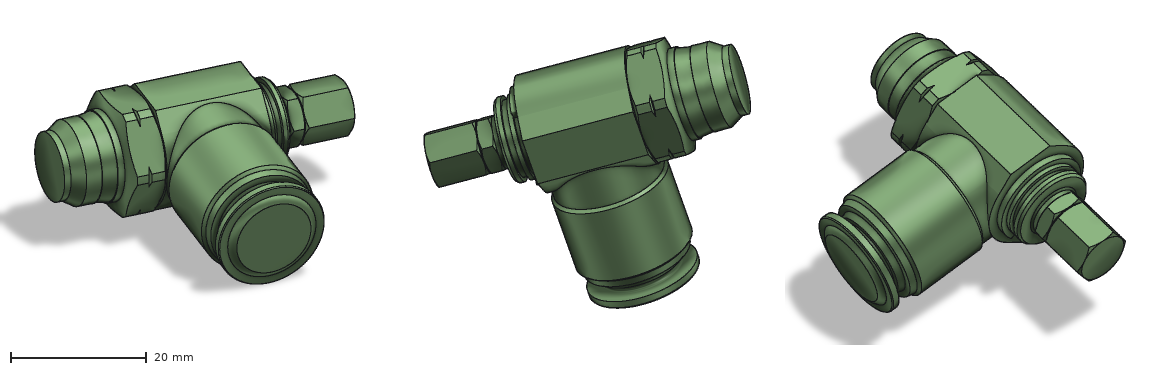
import cadquery as cq
import math


STUB_RADIUS = 5.3
STUB_TOP = 1.05
LEAD_CONE_TOP = 3.0
LEAD_RADIUS = 6.55
THREAD_RADIUS = 6.6
THREAD_TOP = 5.55
RELIEF_BOTTOM_RADIUS = 6.45
RELIEF_TOP_RADIUS = 6.85
RELIEF_TOP = 7.9
COLLAR_RADIUS = 7.05
COLLAR_TOP = 9.0

HEX_FLATS = 17.1
HEX_CORNER_RADIUS = 9.5
HEX_CONE_TOP = 9.9
HEX_TOP = 14.9
HEX_NOTCH_Y = 11.95
HEX_NOTCH_DEPTH = 0.45
HEX_NOTCH_HALF_WIDTH = 0.25
CHAMFER_SLOPE = math.tan(math.radians(30))

SHANK_RADIUS = 5.9
HEAD_RADIUS = 6.55
HEAD_BOTTOM = 33.15
HEAD_GROOVE_BOTTOM = 33.85
HEAD_GROOVE_TOP = 34.85
HEAD_CHAMFER_BOTTOM = 35.6
HEAD_TOP = 36.0
HEAD_TOP_RADIUS = 6.2
NECK_RADIUS = 4.05
NECK_FOOT_RADIUS = 4.35
NECK_FOOT_TOP = 36.3

NUT_FLATS = 8.0
NUT_BOTTOM = 37.05
NUT_TOP = 39.42
SPINDLE_RADIUS = 3.8
KNOB_BOTTOM = 39.5
KNOB_TOP = 47.5

TILT = 7.2
BLOCK_RADIUS = 9.0
BLOCK_BOTTOM = HEX_TOP
BLOCK_LENGTH = 17.1
BLOCK_TOP = BLOCK_BOTTOM + BLOCK_LENGTH
BOSS_RADIUS = 6.45
CLIP_RADIUS = 7.5
CLIP_BOTTOM = 32.1
CLIP_END_ANGLE = 34.0
CLIP_END_ROUNDING = 0.25

PORT_NECK_RADIUS = BLOCK_LENGTH / 2
SLEEVE_RADIUS = 9.02
SLEEVE_CONE_START = 10.3
SLEEVE_START = 10.8
SLEEVE_END = 22.35
CAP_START = 22.8
CAP_START_RADIUS = 8.5
CAP_END = 23.95
CAP_END_RADIUS = 8.2
GUIDE_START_RADIUS = 7.12
GUIDE_END = 25.1
GUIDE_END_RADIUS = 6.8
RELEASE_NECK_RADIUS = 5.95
RELEASE_FILLET = 0.5
FLANGE_START = 26.3
FLANGE_RADIUS = 8.55
FLANGE_RIM_END = 27.35
FLANGE_END = 27.55
FLANGE_FACE_RADIUS = 8.4
DOME_RADIUS = 7.12
DOME_MID_RADIUS = 6.65
DOME_MID = 28.0
PORT_END = 28.3
PORT_END_RADIUS = 6.0


def turned(points):
    """Solid of revolution about Y from (radius, y) points that start and end on the axis."""
    return cq.Workplane("XY").polyline(points).close().revolve(360, (0, 0, 0), (0, 1, 0))


def hex_prism(flats, bottom, top):
    """Hexagonal prism along Y with two flats facing up and down."""
    corner_diameter = flats / math.cos(math.radians(30))
    return (
        cq.Workplane("XZ", origin=(0, bottom, 0))
        .polygon(6, corner_diameter)
        .extrude(bottom - top)
    )


def chamfered_nut(flats, bottom, top):
    """Hexagon with its corners bevelled at 30 degrees at both ends."""
    face_radius = flats / 2
    corner_radius = face_radius / math.cos(math.radians(30))
    bevel = (corner_radius - face_radius) * CHAMFER_SLOPE
    envelope = turned([
        (0, bottom),
        (face_radius, bottom),
        (corner_radius, bottom + bevel),
        (corner_radius, top - bevel),
        (face_radius, top),
        (0, top),
    ])
    return hex_prism(flats, bottom, top).intersect(envelope)


def large_hexagon():
    """Screw hexagon with rounded, notched corners, a bevelled top and a conical underside."""
    face_radius = HEX_FLATS / 2
    bevel = (HEX_CORNER_RADIUS - face_radius) * CHAMFER_SLOPE
    envelope = turned([
        (0, COLLAR_TOP),
        (COLLAR_RADIUS, COLLAR_TOP),
        (HEX_CORNER_RADIUS, HEX_CONE_TOP),
        (HEX_CORNER_RADIUS, HEX_NOTCH_Y - HEX_NOTCH_HALF_WIDTH),
        (HEX_CORNER_RADIUS - HEX_NOTCH_DEPTH, HEX_NOTCH_Y),
        (HEX_CORNER_RADIUS, HEX_NOTCH_Y + HEX_NOTCH_HALF_WIDTH),
        (HEX_CORNER_RADIUS, HEX_TOP - bevel),
        (face_radius, HEX_TOP),
        (0, HEX_TOP),
    ])
    return hex_prism(HEX_FLATS, COLLAR_TOP, HEX_TOP).intersect(envelope)


def make_screw():
    """Threaded end, hexagon, shank, grooved head, lock nut and knob as one solid."""
    core = turned([
        (0, 0),
        (STUB_RADIUS, 0),
        (STUB_RADIUS, STUB_TOP),
        (LEAD_RADIUS, LEAD_CONE_TOP),
        (THREAD_RADIUS, THREAD_TOP),
        (RELIEF_BOTTOM_RADIUS, THREAD_TOP),
        (RELIEF_TOP_RADIUS, RELIEF_TOP),
        (COLLAR_RADIUS, RELIEF_TOP),
        (COLLAR_RADIUS, COLLAR_TOP),
        (SHANK_RADIUS, COLLAR_TOP),
        (SHANK_RADIUS, HEAD_BOTTOM),
        (HEAD_RADIUS, HEAD_BOTTOM),
        (HEAD_RADIUS, HEAD_GROOVE_BOTTOM),
        (SHANK_RADIUS, HEAD_GROOVE_BOTTOM),
        (SHANK_RADIUS, HEAD_GROOVE_TOP),
        (HEAD_RADIUS, HEAD_GROOVE_TOP),
        (HEAD_RADIUS, HEAD_CHAMFER_BOTTOM),
        (HEAD_TOP_RADIUS, HEAD_TOP),
        (NECK_FOOT_RADIUS, HEAD_TOP),
        (NECK_RADIUS, NECK_FOOT_TOP),
        (NECK_RADIUS, NUT_BOTTOM),
        (SPINDLE_RADIUS, NUT_BOTTOM),
        (SPINDLE_RADIUS, KNOB_BOTTOM),
        (0, KNOB_BOTTOM),
    ])
    lock_nut = chamfered_nut(NUT_FLATS, NUT_BOTTOM, NUT_TOP)
    knob = chamfered_nut(NUT_FLATS, KNOB_BOTTOM, KNOB_TOP)
    return core.union(large_hexagon()).union(lock_nut).union(knob)


def elbow_block():
    """Block with flats above and below, bevels beside them and round sides tangent to the bevels."""
    flat_half = BLOCK_RADIUS * math.tan(math.radians(22.5))
    tangent = BLOCK_RADIUS * math.sin(math.radians(45))
    return (
        cq.Workplane("XZ", origin=(0, BLOCK_BOTTOM, 0))
        .moveTo(-flat_half, BLOCK_RADIUS)
        .lineTo(flat_half, BLOCK_RADIUS)
        .lineTo(tangent, tangent)
        .threePointArc((BLOCK_RADIUS, 0), (tangent, -tangent))
        .lineTo(flat_half, -BLOCK_RADIUS)
        .lineTo(-flat_half, -BLOCK_RADIUS)
        .lineTo(-tangent, -tangent)
        .threePointArc((-BLOCK_RADIUS, 0), (-tangent, tangent))
        .close()
        .extrude(-BLOCK_LENGTH)
    )


def tube_port():
    """Tube port turned about an axis that crosses the screw axis midway up the block."""
    return (
        cq.Workplane("XY", origin=(0, BLOCK_BOTTOM + BLOCK_LENGTH / 2, 0))
        .moveTo(0, 0)
        .lineTo(0, PORT_NECK_RADIUS)
        .lineTo(SLEEVE_CONE_START, PORT_NECK_RADIUS)
        .lineTo(SLEEVE_START, SLEEVE_RADIUS)
        .lineTo(SLEEVE_END, SLEEVE_RADIUS)
        .lineTo(CAP_START, CAP_START_RADIUS)
        .lineTo(CAP_END, CAP_END_RADIUS)
        .lineTo(CAP_END, GUIDE_START_RADIUS)
        .lineTo(GUIDE_END, GUIDE_END_RADIUS)
        .lineTo(GUIDE_END, RELEASE_NECK_RADIUS)
        .lineTo(FLANGE_START - RELEASE_FILLET, RELEASE_NECK_RADIUS)
        .radiusArc((FLANGE_START, RELEASE_NECK_RADIUS + RELEASE_FILLET), -RELEASE_FILLET)
        .lineTo(FLANGE_START, FLANGE_RADIUS)
        .lineTo(FLANGE_RIM_END, FLANGE_RADIUS)
        .lineTo(FLANGE_END, FLANGE_FACE_RADIUS)
        .lineTo(FLANGE_END, DOME_RADIUS)
        .threePointArc((DOME_MID, DOME_MID_RADIUS), (PORT_END, PORT_END_RADIUS))
        .lineTo(PORT_END, 0)
        .close()
        .revolve(360, (0, 0, 0), (1, 0, 0))
    )


def open_clip():
    """Ring around the shank, open underneath, with rounded outer corners at its ends."""
    end_x = math.cos(math.radians(CLIP_END_ANGLE))
    end_z = -math.sin(math.radians(CLIP_END_ANGLE))
    return (
        cq.Workplane("XZ", origin=(0, CLIP_BOTTOM, 0))
        .moveTo(-SHANK_RADIUS * end_x, SHANK_RADIUS * end_z)
        .lineTo(-CLIP_RADIUS * end_x, CLIP_RADIUS * end_z)
        .threePointArc((0, CLIP_RADIUS), (CLIP_RADIUS * end_x, CLIP_RADIUS * end_z))
        .lineTo(SHANK_RADIUS * end_x, SHANK_RADIUS * end_z)
        .threePointArc((0, SHANK_RADIUS), (-SHANK_RADIUS * end_x, SHANK_RADIUS * end_z))
        .close()
        .extrude(CLIP_BOTTOM - HEAD_BOTTOM)
        .edges("|Y")
        .edges("<X or >X")
        .fillet(CLIP_END_ROUNDING)
    )


def cylinder_along_y(radius, bottom, top):
    """Plain cylinder on the screw axis."""
    return cq.Workplane("XZ", origin=(0, bottom, 0)).circle(radius).extrude(bottom - top)


def make_elbow():
    """Block, tube port, boss and clip as one solid, bored for the screw and tilted about it."""
    boss = cylinder_along_y(BOSS_RADIUS, BLOCK_TOP, CLIP_BOTTOM)
    bore = cylinder_along_y(SHANK_RADIUS, BLOCK_BOTTOM, HEAD_BOTTOM)
    elbow = elbow_block().union(tube_port()).union(boss).cut(bore).union(open_clip())
    return elbow.rotate((0, 0, 0), (0, 1, 0), TILT)


screw = make_screw()
elbow = make_elbow()

result = cq.Compound.makeCompound([screw.val(), elbow.val()])